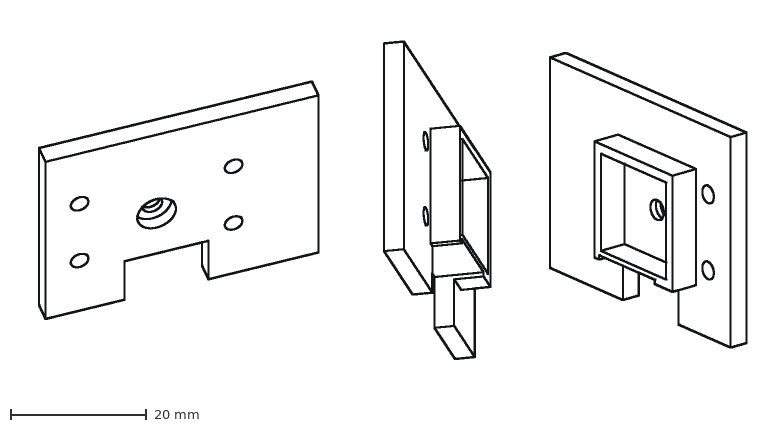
import cadquery as cq

plate_width = 42.5
plate_height = 33.2
plate_thickness = 3.0

frame_outer = 18.3
frame_inner = 15.3
frame_height = 4.45
frame_y = -3.95

center_hole_diameter = 3.1
counterbore_diameter = 6.0
counterbore_depth = 2.0

mount_hole_diameter = 2.7
mount_spacing_y = 23.95
mount_spacing_z = 12.0

notch_width = 13.05
notch_depth = 8.1
notch_y = -2.42

total_depth = plate_thickness + frame_height

def make_plate():
    return cq.Workplane("XY").box(plate_thickness, plate_width, plate_height).translate(
        (-plate_thickness / 2, 0, 0)
    )

def make_frame():
    return (
        cq.Workplane("YZ", origin=(-total_depth, frame_y, 0))
        .rect(frame_outer, frame_outer)
        .rect(frame_inner, frame_inner)
        .extrude(frame_height)
    )

def make_notch():
    notch_z = (notch_depth - plate_height) / 2
    return cq.Workplane("XY").box(total_depth, notch_width, notch_depth).translate(
        (-total_depth / 2, notch_y, notch_z)
    )

body = make_plate().union(make_frame()).cut(make_notch())

outer_face = cq.Workplane("YZ", origin=(0, frame_y, 0))
mount_holes = (
    outer_face.rect(mount_spacing_y, mount_spacing_z, forConstruction=True)
    .vertices()
    .circle(mount_hole_diameter / 2)
    .extrude(-plate_thickness)
)
center_hole = outer_face.circle(center_hole_diameter / 2).extrude(-plate_thickness)
counterbore = outer_face.circle(counterbore_diameter / 2).extrude(-counterbore_depth)

result = body.cut(mount_holes).cut(center_hole).cut(counterbore)